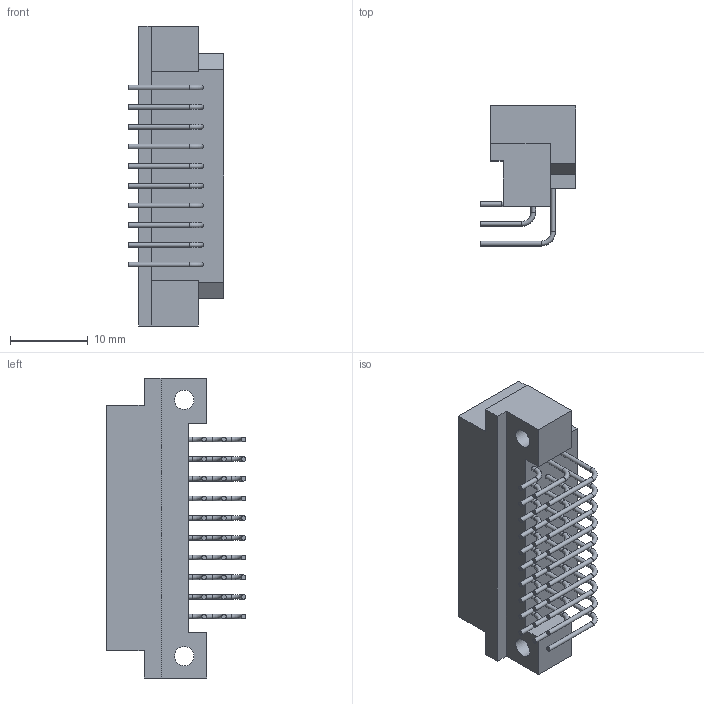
import cadquery as cq


total_depth = 18.02
total_length = 38.7
shroud_length = 31.7
body_width = 11.0
body_depth = 10.6
ear_overhang = 2.35
ear_width = 7.7
ear_length = 5.85
flange_back = 5.7
step_width = 1.62
step_y = 3.52

corner_flat_y = 1.82
corner_slope_y = 3.16
corner_drop = 2.15

hole_diameter = 2.5
hole_y = 0.53
hole_end_distance = 2.82

pin_diameter = 0.6
pin_pitch = 2.54
pins_per_row = 10
row_count = 3
bend_radius = 1.5
pin_tip_x = -1.35
outer_row_x = 8.05
outer_row_y = body_depth - total_depth + pin_diameter / 2
pin_embed = 0.5


def box(x_range, y_range, z_range):
    """Axis-aligned box between the given (low, high) limits."""
    size = [high - low for low, high in (x_range, y_range, z_range)]
    corner = (x_range[0], y_range[0], z_range[0])
    return cq.Workplane("XY").box(*size, centered=False).translate(corner)


def make_shroud():
    """Full-width block whose pin-side ends are cut to polarising corners."""
    half = shroud_length / 2
    ledge = half - corner_drop
    outline = [
        (0, -ledge),
        (corner_flat_y, -ledge),
        (corner_slope_y, -half),
        (body_depth, -half),
        (body_depth, half),
        (corner_slope_y, half),
        (corner_flat_y, ledge),
        (0, ledge),
    ]
    return cq.Workplane("YZ").polyline(outline).close().extrude(body_width)


def make_flange():
    """Full-length flange with an ear at each end and open pin space between the ears."""
    half = total_length / 2
    flange = box((0, ear_width), (-ear_overhang, flange_back), (-half, half))
    pin_space = half - ear_length
    return flange.cut(box((0, ear_width), (-ear_overhang, 0), (-pin_space, pin_space)))


def cut_side_step(housing):
    """Set the pin-side part of the housing back from the side face X = 0."""
    half = total_length / 2
    return housing.cut(box((0, step_width), (-ear_overhang, step_y), (-half, half)))


def cut_mounting_holes(housing):
    """Drill one hole along X through each ear."""
    hole_z = total_length / 2 - hole_end_distance
    holes = (
        cq.Workplane("YZ")
        .pushPoints([(hole_y, -hole_z), (hole_y, hole_z)])
        .circle(hole_diameter / 2)
        .extrude(ear_width)
    )
    return housing.cut(holes)


def make_pin(leg_x, tail_y):
    """Pin leaving the housing along -Y at leg_x, bent to run along -X at tail_y."""
    path = (
        cq.Workplane("XY")
        .moveTo(leg_x, pin_embed)
        .lineTo(leg_x, tail_y + bend_radius)
        .radiusArc((leg_x - bend_radius, tail_y), bend_radius)
        .lineTo(pin_tip_x, tail_y)
    )
    section = cq.Workplane("XZ", origin=(leg_x, pin_embed, 0)).circle(pin_diameter / 2)
    return section.sweep(path).val()


def make_pins():
    """Rows of bent pins nested inside one another, repeated along Z."""
    pins = []
    first_z = -(pins_per_row - 1) / 2 * pin_pitch
    for row in range(row_count):
        row_offset = row * pin_pitch
        pin = make_pin(outer_row_x - row_offset, outer_row_y + row_offset)
        for index in range(pins_per_row):
            pins.append(pin.translate(cq.Vector(0, 0, first_z + index * pin_pitch)))
    return pins


housing = make_shroud().union(make_flange())
housing = cut_side_step(housing)
housing = cut_mounting_holes(housing)
result = cq.Workplane(housing.val().fuse(*make_pins()))